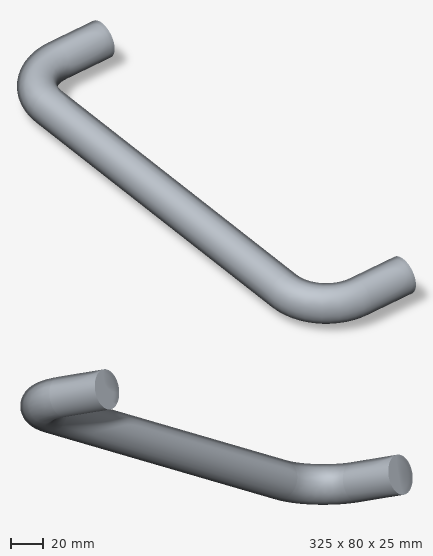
import cadquery as cq

length = 325.0
depth = 80.0
rod_diameter = 25.0

bend_radius = 32.5
rod_radius = rod_diameter / 2
leg_spacing = length - rod_diameter
bar_length = leg_spacing - 2 * bend_radius
leg_length = depth - rod_radius - bend_radius

leg_end_y = depth / 2
bar_axis_y = rod_radius - depth / 2


def make_bar():
    """Straight grip bar along X, between the two elbows."""
    return (
        cq.Workplane("YZ", origin=(-bar_length / 2, bar_axis_y, 0))
        .circle(rod_radius)
        .extrude(bar_length)
    )


def make_elbow(side):
    """Bent end of the handle: side is -1 for the -X end and +1 for the +X end."""
    bend_start_x = side * bar_length / 2
    leg_axis_x = side * leg_spacing / 2
    bend = (
        cq.Workplane("YZ", origin=(bend_start_x, bar_axis_y, 0))
        .circle(rod_radius)
        .revolve(90, (bend_radius, 0), (bend_radius, side))
    )
    leg = (
        cq.Workplane("XZ", origin=(leg_axis_x, leg_end_y, 0))
        .circle(rod_radius)
        .extrude(leg_length)
    )
    return bend.union(leg)


bar = make_bar()
elbows = [make_elbow(side) for side in (-1, 1)]

result = cq.Compound.makeCompound([bar.val(), *[elbow.val() for elbow in elbows]])